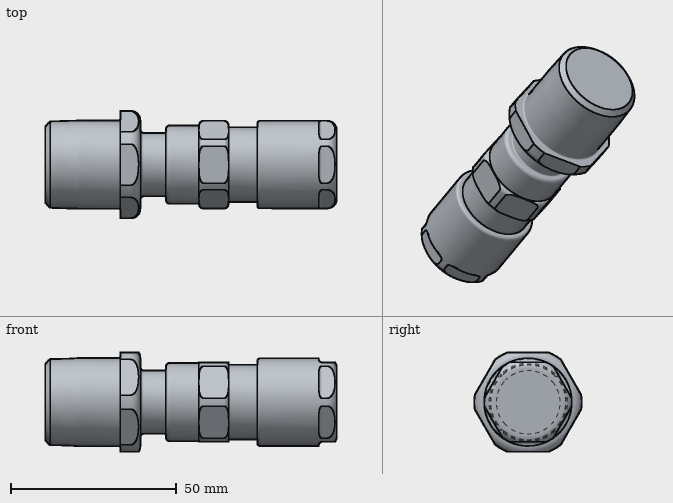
import cadquery as cq
import math


SPIGOT_DIAMETER = 26.7
SPIGOT_TIP_DIAMETER = 26.15
SPIGOT_FACE_DIAMETER = 23.0
SPIGOT_CHAMFER_END_X = 1.5
SPIGOT_TAPER_END_X = 10.2
SPIGOT_ROOT_FILLET = 0.4

FLANGE_START_X = 22.7
FLANGE_END_X = 28.8
FLANGE_ACROSS_FLATS = 30.0
FLANGE_CORNER_DIAMETER = 32.5
FLANGE_ROUND = 3.0

NECK_DIAMETER = 19.2
NECK_FLANGE_FILLET = 1.0
NECK_SLEEVE_FILLET = 0.35
SLEEVE_START_X = 36.45
SLEEVE_DIAMETER = 23.7
SLEEVE_ROUND = 1.15

HEX_ACROSS_FLATS = 24.0
HEX_CORNER_DIAMETER = 26.5

NUT_START_X = 46.4
NUT_END_X = 55.4
NUT_ROUND = 1.4
STEM_DIAMETER = 22.6

CAP_START_X = 64.0
CAP_END_X = 88.0
CAP_START_ROUND = 0.9
CAP_END_ROUND = 3.0
CAP_FLATS_START_X = 82.6
CAP_FLATS_FILLET = 1.0

HEX_SIDES = 6


def cylinder(start_x, end_x, diameter):
    """Round bar along X."""
    return cq.Workplane("YZ", origin=(start_x, 0, 0)).circle(diameter / 2).extrude(end_x - start_x)


def hex_bar(start_x, end_x, across_flats):
    """Hexagonal bar along X with two flats square to Z."""
    across_corners = across_flats / math.cos(math.pi / HEX_SIDES)
    return (
        cq.Workplane("YZ", origin=(start_x, 0, 0))
        .polygon(HEX_SIDES, across_corners)
        .extrude(end_x - start_x)
    )


def fillet_root(body, x, diameter, radius):
    """Round the inner corner where a cylinder of this diameter meets a flat face at x."""
    reach = diameter / 2 + radius
    corner = cq.selectors.BoxSelector(
        (x - radius / 2, -reach, -reach),
        (x + radius / 2, reach, reach),
        boundingbox=True,
    )
    return body.edges(corner).fillet(radius)


def make_spigot():
    """Turned spigot from its tip to the flange."""
    return (
        cq.Workplane("XY")
        .polyline([
            (0, 0),
            (0, SPIGOT_FACE_DIAMETER / 2),
            (SPIGOT_CHAMFER_END_X, SPIGOT_TIP_DIAMETER / 2),
            (SPIGOT_TAPER_END_X, SPIGOT_DIAMETER / 2),
            (FLANGE_START_X, SPIGOT_DIAMETER / 2),
            (FLANGE_START_X, 0),
        ])
        .close()
        .revolve(360, (0, 0, 0), (1, 0, 0))
    )


def make_flange():
    """Hexagonal flange with rounded corners on the side facing the neck."""
    blank = cylinder(FLANGE_START_X, FLANGE_END_X, FLANGE_CORNER_DIAMETER)
    blank = blank.faces(">X").edges().fillet(FLANGE_ROUND)
    return blank.intersect(hex_bar(FLANGE_START_X, FLANGE_END_X, FLANGE_ACROSS_FLATS))


def make_entry():
    """Spigot, flange, neck and sleeve in one piece, with filleted inner corners."""
    neck = cylinder(FLANGE_END_X, SLEEVE_START_X, NECK_DIAMETER)
    sleeve = cylinder(SLEEVE_START_X, NUT_START_X, SLEEVE_DIAMETER)
    sleeve = sleeve.faces("<X").edges().fillet(SLEEVE_ROUND)
    body = make_spigot().union(make_flange()).union(neck).union(sleeve)
    body = fillet_root(body, FLANGE_START_X, SPIGOT_DIAMETER, SPIGOT_ROOT_FILLET)
    body = fillet_root(body, FLANGE_END_X, NECK_DIAMETER, NECK_FLANGE_FILLET)
    return fillet_root(body, SLEEVE_START_X, NECK_DIAMETER, NECK_SLEEVE_FILLET)


def make_nut():
    """Hexagonal nut, rounded at both ends, with the stem that leads to the cap."""
    blank = cylinder(NUT_START_X, NUT_END_X, HEX_CORNER_DIAMETER).edges("%CIRCLE").fillet(NUT_ROUND)
    hexagon = blank.intersect(hex_bar(NUT_START_X, NUT_END_X, HEX_ACROSS_FLATS))
    stem = cylinder(NUT_END_X, CAP_START_X, STEM_DIAMETER)
    return hexagon.union(stem)


def make_flat_cutter():
    """Cutter for the upper flat of the cap, with a fillet where the flat runs out."""
    flat_height = HEX_ACROSS_FLATS / 2
    top = HEX_CORNER_DIAMETER
    return (
        cq.Workplane("XZ")
        .moveTo(CAP_FLATS_START_X, top)
        .lineTo(CAP_FLATS_START_X, flat_height + CAP_FLATS_FILLET)
        .radiusArc((CAP_FLATS_START_X + CAP_FLATS_FILLET, flat_height), -CAP_FLATS_FILLET)
        .lineTo(CAP_END_X, flat_height)
        .lineTo(CAP_END_X, top)
        .close()
        .extrude(HEX_CORNER_DIAMETER / 2, both=True)
    )


def make_cap():
    """Round cap with a hexagon of flats at its far end."""
    body = cylinder(CAP_START_X, CAP_END_X, HEX_CORNER_DIAMETER)
    body = body.faces("<X").edges().fillet(CAP_START_ROUND)
    body = body.faces(">X").edges().fillet(CAP_END_ROUND)
    cutter = make_flat_cutter()
    for side in range(HEX_SIDES):
        body = body.cut(cutter.rotate((0, 0, 0), (1, 0, 0), side * 360 / HEX_SIDES))
    return body


entry = make_entry()
nut = make_nut()
cap = make_cap()

result = cq.Compound.makeCompound([body.solids().val() for body in (entry, nut, cap)])